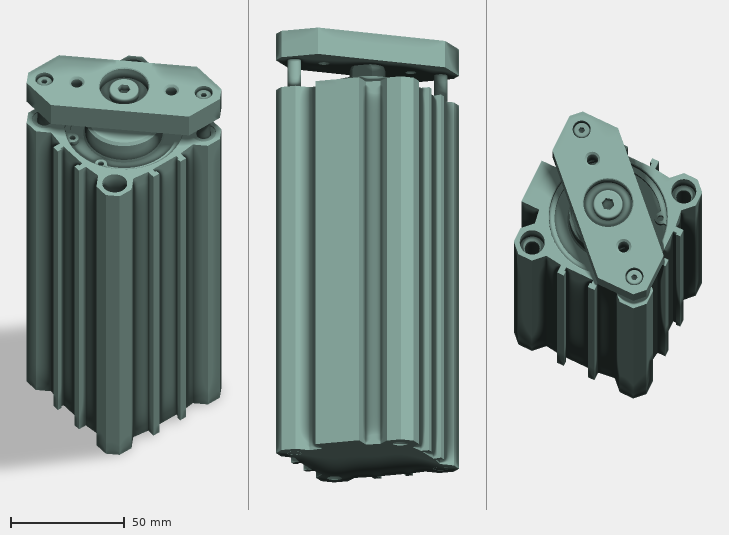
import cadquery as cq
import math


TOTAL_HEIGHT = 190.0
HOUSING_HEIGHT = 164.5
PLATE_THICKNESS = 12.0
HALF_WIDTH = 32.5
PLATE_TOP = TOTAL_HEIGHT
PLATE_BOTTOM = PLATE_TOP - PLATE_THICKNESS

CORNER_CHAMFER = 4.4
CORNER_FLAT = 6.6
WEB_CORNER = 16.7
LIP_OUTER = 9.1
LIP_THICKNESS = 2.5
LIP_HOOK = 0.8
LIP_HOOK_HEIGHT = 2.0
WEB_FACE = 28.7
PORT_HALF_WIDTH = 10.3
PORT_REACH = 37.5

CORNER_HOLE_SPACING = 50.0
CORNER_OFFSET = CORNER_HOLE_SPACING / 2
CORNER_HOLE_DIAMETER = 6.6
COUNTERBORE_DIAMETER = 11.0
COUNTERBORE_DEPTH = 11.4
GUIDE_SEAT_DIAMETER = 10.8
GUIDE_SEAT_DEPTH = 0.5

RECESS_DIAMETER = 52.2
RECESS_DEPTH = 4.5
RECESS_CHAMFER = 0.4
RECESS_FLOOR = HOUSING_HEIGHT - RECESS_DEPTH
RING_OUTER_DIAMETER = 51.9
RING_INNER_DIAMETER = 47.1
RING_THICKNESS = 2.3
LUG_DIAMETER = 5.3
LUG_HOLE_DIAMETER = 2.7
LUG_X = 10.0
LUG_Y = -20.9
LUG_FILLET = 1.1
RING_GAP_HALF_WIDTH = 8.5
BOSS_DIAMETER = 34.2
BOSS_PROJECTION = 6.0
BOSS_CHAMFER = 1.1
BOSS_FOOT_CHAMFER = 0.8
BOSS_TOP = HOUSING_HEIGHT + BOSS_PROJECTION

ROD_DIAMETER = 16.0
ROD_INSERTION = 19.0
ROD_BOTTOM = HOUSING_HEIGHT - ROD_INSERTION
ROD_FLAT_WIDTH = 13.0
ROD_FLAT_CLEARANCE = 1.7
ROD_FLAT_BOTTOM = BOSS_TOP + ROD_FLAT_CLEARANCE
ROD_TAPER_HEIGHT = 1.9
ROD_TAPER = 0.5

PLATE_CORNER = 10.8
BOLT_POCKET_DIAMETER = 21.7
BOLT_POCKET_DEPTH = 6.0
POCKET_CHAMFER = 0.4
TAPPED_OFFSET = 14.8
TAPPED_DIAMETER = 5.0
TAPPED_MOUTH_DIAMETER = 6.8
GUIDE_DIAMETER = 6.0
SCREW_POCKET_DIAMETER = 8.0
SCREW_POCKET_DEPTH = 5.5
SCREW_CLEARANCE_DIAMETER = 4.5
BOLT_CLEARANCE_DIAMETER = 8.5

BOLT_HEAD_DIAMETER = 13.0
BOLT_HEAD_HEIGHT = 4.2
BOLT_SHANK_DIAMETER = 8.0
BOLT_GRIP = 9.5
BOLT_KEY = 5.0
BOLT_KEY_DEPTH = 3.5
SCREW_HEAD_DIAMETER = 7.0
SCREW_HEAD_HEIGHT = 4.0
SCREW_SHANK_DIAMETER = 4.0
SCREW_GRIP = 7.6
SCREW_KEY = 2.5
SCREW_KEY_DEPTH = 2.3
HEAD_FILLET = 0.8
KEY_TURN = 45.0
KEY_TIP_SLOPE = 30.0

GUIDE_PLACES = [(CORNER_OFFSET, CORNER_OFFSET), (-CORNER_OFFSET, -CORNER_OFFSET)]
MOUNTING_PLACES = [(-CORNER_OFFSET, CORNER_OFFSET), (CORNER_OFFSET, -CORNER_OFFSET)]


def cylinder(diameter, bottom, top, place=(0, 0)):
    """Upright cylinder between two heights."""
    return cq.Workplane("XY", origin=(*place, bottom)).circle(diameter / 2).extrude(top - bottom)


def cone(bottom_diameter, top_diameter, bottom, top, place=(0, 0)):
    """Upright truncated cone between two heights."""
    solid = cq.Solid.makeCone(bottom_diameter / 2, top_diameter / 2, top - bottom)
    return cq.Workplane(solid.translate(cq.Vector(*place, bottom)))


def hex_socket(width, depth, top, place):
    """Hexagonal key socket with a drilled conical end and one corner on the plate diagonal."""
    corner_diameter = width / math.cos(math.pi / 6)
    tip_depth = corner_diameter / 2 * math.tan(math.radians(KEY_TIP_SLOPE))
    tip_base = top - depth
    tip_end = tip_base - tip_depth
    drilled = cone(0, corner_diameter, tip_end, tip_base, place)
    drilled = drilled.union(cylinder(corner_diameter, tip_base, top, place))
    hexagon = cq.Workplane("XY", origin=(*place, tip_end)).transformed(rotate=(0, 0, KEY_TURN))
    return hexagon.polygon(6, corner_diameter).extrude(depth + tip_depth).intersect(drilled)


def slot_lip():
    """Points of the right lip of a sensor slot on the -Y side, from the slot floor outwards."""
    inner = LIP_OUTER - LIP_THICKNESS
    hook_inner = inner - LIP_HOOK
    hook_top = -HALF_WIDTH + LIP_HOOK_HEIGHT
    return [
        (inner, -WEB_FACE),
        (inner, hook_top),
        (hook_inner, hook_top),
        (hook_inner, -HALF_WIDTH),
        (LIP_OUTER, -HALF_WIDTH),
        (LIP_OUTER, -WEB_FACE),
    ]


def port_rail():
    """Points of the right half of the port rail, laid out on the -Y side."""
    return [(PORT_HALF_WIDTH, -PORT_REACH), (PORT_HALF_WIDTH, -WEB_FACE)]


def side_outline(middle):
    """Points of one whole side, laid out on -Y, given the right half of what stands in its middle."""
    post_outer = HALF_WIDTH - CORNER_CHAMFER
    post_inner = post_outer - CORNER_FLAT
    web_depth = HALF_WIDTH - (post_inner - WEB_CORNER)
    right = middle + [(WEB_CORNER, -web_depth), (post_inner, -HALF_WIDTH), (post_outer, -HALF_WIDTH)]
    return [(-x, y) for x, y in reversed(right)] + right


def turned(point, quarter_turns):
    """Point turned about the cylinder axis by whole quarter turns."""
    x, y = point
    for _ in range(quarter_turns):
        x, y = -y, x
    return (x, y)


def make_housing():
    """Extruded barrel with its port rail on +Y, rod boss, corner holes and ring recess."""
    outline = []
    for quarter_turns, middle in enumerate([slot_lip(), slot_lip(), port_rail(), slot_lip()]):
        outline += [turned(point, quarter_turns) for point in side_outline(middle)]
    body = cq.Workplane("XY").polyline(outline).close().extrude(HOUSING_HEIGHT)

    body = body.cut(cylinder(RECESS_DIAMETER, RECESS_FLOOR, HOUSING_HEIGHT))
    mouth_diameter = RECESS_DIAMETER + 2 * RECESS_CHAMFER
    body = body.cut(cone(RECESS_DIAMETER, mouth_diameter, HOUSING_HEIGHT - RECESS_CHAMFER, HOUSING_HEIGHT))

    boss = cylinder(BOSS_DIAMETER, RECESS_FLOOR, BOSS_TOP).faces(">Z").chamfer(BOSS_CHAMFER)
    foot_diameter = BOSS_DIAMETER + 2 * BOSS_FOOT_CHAMFER
    foot = cone(foot_diameter, BOSS_DIAMETER, RECESS_FLOOR, RECESS_FLOOR + BOSS_FOOT_CHAMFER)
    body = body.union(boss).union(foot)
    body = body.cut(cylinder(ROD_DIAMETER, ROD_BOTTOM, BOSS_TOP))

    for place in GUIDE_PLACES + MOUNTING_PLACES:
        body = body.cut(cylinder(CORNER_HOLE_DIAMETER, 0, HOUSING_HEIGHT, place))
    for place in MOUNTING_PLACES:
        counterbore_floor = HOUSING_HEIGHT - COUNTERBORE_DEPTH
        body = body.cut(cylinder(COUNTERBORE_DIAMETER, counterbore_floor, HOUSING_HEIGHT, place))
    for place in GUIDE_PLACES:
        seat_floor = HOUSING_HEIGHT - GUIDE_SEAT_DEPTH
        body = body.cut(cylinder(GUIDE_SEAT_DIAMETER, seat_floor, HOUSING_HEIGHT, place))
    return body


def make_snap_ring():
    """Internal snap ring, open towards -Y, with a pierced lug at each end."""
    ring_top = RECESS_FLOOR + RING_THICKNESS
    ring = cylinder(RING_OUTER_DIAMETER, RECESS_FLOOR, ring_top)
    ring = ring.cut(cylinder(RING_INNER_DIAMETER, RECESS_FLOOR, ring_top))

    gap = cq.Workplane("XY", origin=(0, -RING_OUTER_DIAMETER / 2, RECESS_FLOOR))
    ring = ring.cut(gap.rect(2 * RING_GAP_HALF_WIDTH, RING_OUTER_DIAMETER / 2).extrude(RING_THICKNESS))

    lug_places = [(LUG_X, LUG_Y), (-LUG_X, LUG_Y)]
    for place in lug_places:
        ring = ring.union(cylinder(LUG_DIAMETER, RECESS_FLOOR, ring_top, place))

    for side in (-1, 1):
        near = (side * LUG_X, LUG_Y, RECESS_FLOOR)
        far = (side * (LUG_X + LUG_DIAMETER), LUG_Y + LUG_DIAMETER, ring_top)
        corner = ring.edges("|Z").edges(cq.selectors.BoxSelector(near, far))
        ring = corner.fillet(LUG_FILLET)
    for place in lug_places:
        ring = ring.cut(cylinder(LUG_HOLE_DIAMETER, RECESS_FLOOR, ring_top, place))
    return ring


def make_piston_rod():
    """Rod with a tapered top, two wrench flats and a bolt hole."""
    taper_bottom = PLATE_BOTTOM - ROD_TAPER_HEIGHT
    rod = cylinder(ROD_DIAMETER, ROD_BOTTOM, taper_bottom)
    rod = rod.union(cone(ROD_DIAMETER, ROD_DIAMETER - 2 * ROD_TAPER, taper_bottom, PLATE_BOTTOM))

    flat = ROD_FLAT_WIDTH / 2
    reach = ROD_DIAMETER / 2
    slope = reach - flat
    flat_profile = [
        (flat, ROD_FLAT_BOTTOM),
        (reach, ROD_FLAT_BOTTOM - slope),
        (reach, PLATE_BOTTOM),
        (flat, PLATE_BOTTOM),
    ]
    cutter = cq.Workplane("YZ").polyline(flat_profile).close().extrude(reach, both=True)
    rod = rod.cut(cutter).cut(cutter.mirror("XZ"))
    return rod.cut(cylinder(BOLT_SHANK_DIAMETER, PLATE_BOTTOM - BOLT_GRIP, PLATE_BOTTOM))


def make_plate():
    """Diagonal end plate with pockets for the bolt and screws and two tapped holes."""
    bevel = HALF_WIDTH - CORNER_CHAMFER
    half = [
        (PLATE_CORNER, HALF_WIDTH),
        (bevel, HALF_WIDTH),
        (HALF_WIDTH, bevel),
        (HALF_WIDTH, PLATE_CORNER),
    ]
    outline = half + [(-x, -y) for x, y in half]
    plate = cq.Workplane("XY", origin=(0, 0, PLATE_BOTTOM)).polyline(outline).close().extrude(PLATE_THICKNESS)

    plate = plate.cut(cylinder(BOLT_POCKET_DIAMETER, PLATE_TOP - BOLT_POCKET_DEPTH, PLATE_TOP))
    mouth_diameter = BOLT_POCKET_DIAMETER + 2 * POCKET_CHAMFER
    plate = plate.cut(cone(BOLT_POCKET_DIAMETER, mouth_diameter, PLATE_TOP - POCKET_CHAMFER, PLATE_TOP))
    plate = plate.cut(cylinder(BOLT_CLEARANCE_DIAMETER, PLATE_BOTTOM, PLATE_TOP))
    for place in GUIDE_PLACES:
        plate = plate.cut(cylinder(SCREW_POCKET_DIAMETER, PLATE_TOP - SCREW_POCKET_DEPTH, PLATE_TOP, place))
        plate = plate.cut(cylinder(SCREW_CLEARANCE_DIAMETER, PLATE_BOTTOM, PLATE_TOP, place))

    mouth_depth = (TAPPED_MOUTH_DIAMETER - TAPPED_DIAMETER) / 2
    for place in [(TAPPED_OFFSET, TAPPED_OFFSET), (-TAPPED_OFFSET, -TAPPED_OFFSET)]:
        plate = plate.cut(cylinder(TAPPED_DIAMETER, PLATE_BOTTOM, PLATE_TOP, place))
        mouth = cone(TAPPED_DIAMETER, TAPPED_MOUTH_DIAMETER, PLATE_TOP - mouth_depth, PLATE_TOP, place)
        plate = plate.cut(mouth)
    return plate


def make_guide_rod(place):
    """Guide rod from the housing bottom up to the plate, with a screw hole in its top."""
    rod = cylinder(GUIDE_DIAMETER, 0, PLATE_BOTTOM, place)
    return rod.cut(cylinder(SCREW_SHANK_DIAMETER, PLATE_BOTTOM - SCREW_GRIP, PLATE_BOTTOM, place))


def make_cap_screw(head_diameter, head_height, shank_diameter, seat, tip, key, key_depth, place):
    """Socket head screw with its head resting on the seat height and its shank ending at the tip."""
    head_top = seat + head_height
    head = cylinder(head_diameter, seat, head_top, place).faces(">Z").edges().fillet(HEAD_FILLET)
    screw = head.union(cylinder(shank_diameter, tip, seat, place))
    return screw.cut(hex_socket(key, key_depth, head_top, place))


def make_plate_bolt():
    """Bolt holding the plate to the piston rod."""
    return make_cap_screw(
        BOLT_HEAD_DIAMETER, BOLT_HEAD_HEIGHT, BOLT_SHANK_DIAMETER,
        PLATE_TOP - BOLT_POCKET_DEPTH, PLATE_BOTTOM - BOLT_GRIP, BOLT_KEY, BOLT_KEY_DEPTH, (0, 0),
    )


def make_guide_screw(place):
    """Screw holding the plate to one guide rod."""
    return make_cap_screw(
        SCREW_HEAD_DIAMETER, SCREW_HEAD_HEIGHT, SCREW_SHANK_DIAMETER,
        PLATE_TOP - SCREW_POCKET_DEPTH, PLATE_BOTTOM - SCREW_GRIP, SCREW_KEY, SCREW_KEY_DEPTH, place,
    )


housing = make_housing()
snap_ring = make_snap_ring()
piston_rod = make_piston_rod()
plate = make_plate()
plate_bolt = make_plate_bolt()
guide_rods = [make_guide_rod(place) for place in GUIDE_PLACES]
guide_screws = [make_guide_screw(place) for place in GUIDE_PLACES]

result = cq.Compound.makeCompound([
    housing.val(),
    snap_ring.val(),
    piston_rod.val(),
    plate.val(),
    plate_bolt.val(),
    *[rod.val() for rod in guide_rods],
    *[screw.val() for screw in guide_screws],
])